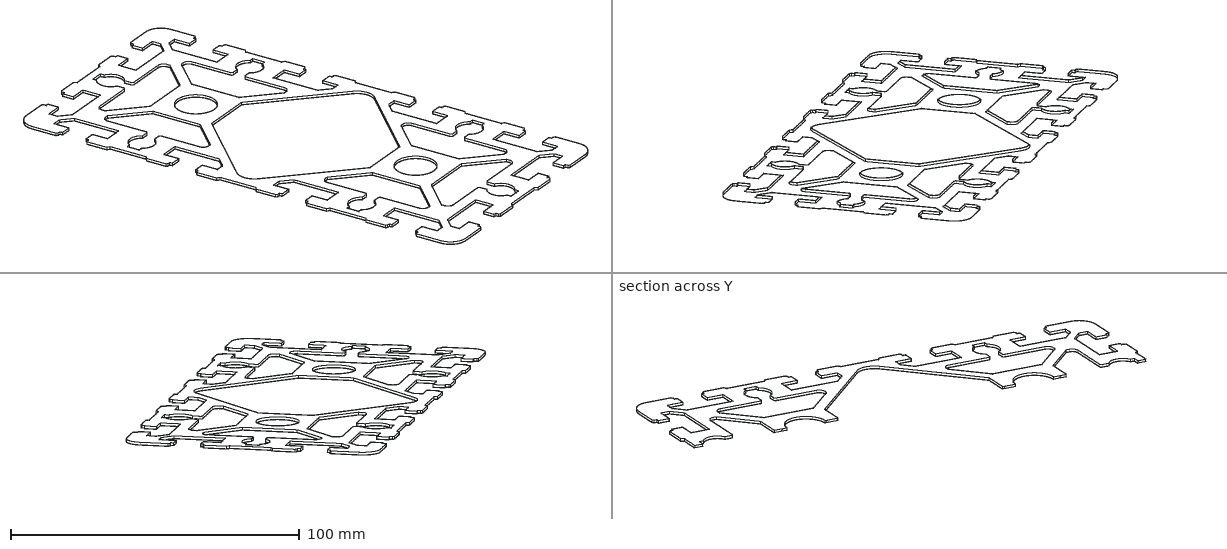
import cadquery as cq

module = 90.0
length = 2 * module
thickness = 1.0
half_module = module / 2
corner_radius = 6.3

slot_offset = module / 4
slot_opening = 9.5
slot_width = 22.0
lip_depth = 6.0
slot_depth = 13.1
lip_step_width = 1.0
lip_step_depth = 1.6
lip_chamfer = 0.5

outer_web_reach = 2.2
inner_web_reach = 2.9

recess_width = 14.8
recess_depth = 1.0
recess_mouth_width = 16.2

channel_width = 4.9
channel_top_depth = 4.3
channel_bore_radius = 4.9
channel_bore_depth = 10.0
channel_edge_radius = 0.7

pocket_depth = 17.6
pocket_width = 42.1
pocket_corner_radius = 2.2
core_width = 25.2
core_hole_diameter = 15.0

opening_tip_radius = 6.3

slot_floor = half_module - slot_depth
lip_floor = half_module - lip_depth
pocket_top = half_module - pocket_depth
core_half = core_width / 2


def prism(points):
    return cq.Workplane("XY").polyline(points).close().extrude(thickness)


def slab(width, bottom, top):
    """Block centred on X = 0 that spans bottom to top along Y."""
    return (
        cq.Workplane("XY")
        .center(0, (bottom + top) / 2)
        .rect(width, top - bottom)
        .extrude(thickness)
    )


def t_slot():
    """T-slot on the +X half of the +Y side, its far floor corner cut by the web."""
    half_width = slot_width / 2
    wall = slot_offset + half_width
    undercut = prism([
        (slot_offset - half_width, lip_floor),
        (slot_offset - half_width, slot_floor),
        (slot_floor - outer_web_reach, slot_floor),
        (wall, wall + outer_web_reach),
        (wall, lip_floor),
    ])
    half_mouth = slot_opening / 2
    half_step = half_mouth + lip_step_width
    step_floor = half_module - lip_step_depth
    half_mouth_profile = [
        (half_mouth, lip_floor),
        (half_mouth, step_floor),
        (half_step, step_floor),
        (half_step, half_module - lip_chamfer),
        (half_step + lip_chamfer, half_module),
    ]
    right = [(slot_offset + x, y) for x, y in half_mouth_profile]
    left = [(slot_offset - x, y) for x, y in reversed(half_mouth_profile)]
    return undercut.union(prism(right + left))


def recess():
    floor = half_module - recess_depth
    return prism([
        (-recess_mouth_width / 2, half_module),
        (-recess_width / 2, floor),
        (recess_width / 2, floor),
        (recess_mouth_width / 2, half_module),
    ])


def pocket_with_channel():
    half_width = pocket_width / 2
    core_edge = core_half - inner_web_reach
    pocket = prism([
        (-core_edge, core_half),
        (core_edge, core_half),
        (half_width, half_width + inner_web_reach),
        (half_width, pocket_top),
        (-half_width, pocket_top),
        (-half_width, half_width + inner_web_reach),
    ])
    pocket = pocket.edges("|Z").edges(">Y").fillet(pocket_corner_radius)
    channel = slab(channel_width, core_half, half_module - channel_top_depth)
    bore = (
        cq.Workplane("XY")
        .center(0, half_module - channel_bore_depth)
        .circle(channel_bore_radius)
        .extrude(thickness)
    )
    mouth_edges = cq.selectors.BoxSelector(
        (-channel_width, pocket_top - channel_edge_radius, -thickness),
        (channel_width, pocket_top + channel_edge_radius, 2 * thickness),
    )
    cavity = pocket.union(channel)
    cavity = cavity.edges("|Z").edges(mouth_edges).fillet(channel_edge_radius)
    return cavity.union(bore)


def side_cutter():
    """Everything removed from one open side, for the +Y side of a module."""
    slot = t_slot()
    return pocket_with_channel().union(slot).union(slot.mirror("YZ")).union(recess())


def central_opening():
    """Six-sided window between the cores, rounded at its two Y tips."""
    side_x = half_module - core_half
    tip_y = half_module - inner_web_reach
    side_y = tip_y - side_x
    window = prism([
        (0, tip_y),
        (side_x, side_y),
        (side_x, -side_y),
        (0, -tip_y),
        (-side_x, -side_y),
        (-side_x, side_y),
    ])
    return window.edges("|Z").edges(">Y or <Y").fillet(opening_tip_radius)


result = (
    cq.Workplane("XY")
    .rect(length, module)
    .extrude(thickness)
    .edges("|Z")
    .fillet(corner_radius)
)

side = side_cutter()
core_hole = cq.Workplane("XY").circle(core_hole_diameter / 2).extrude(thickness)
for direction in (-1, 1):
    module_center = (direction * half_module, 0, 0)
    for angle in (0, 180, -90 * direction):
        turned = side.rotate((0, 0, 0), (0, 0, 1), angle)
        result = result.cut(turned.translate(module_center))
    result = result.cut(core_hole.translate(module_center))

for angle in (0, 180):
    result = result.cut(recess().rotate((0, 0, 0), (0, 0, 1), angle))
result = result.cut(central_opening())